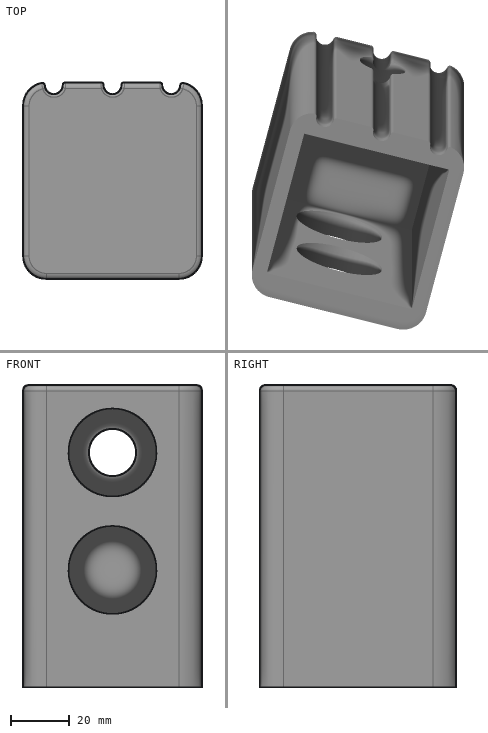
import cadquery as cq

WIDTH = 61.0
DEPTH = 67.0
HEIGHT = 103.0
CORNER_RADIUS = 8.0
TOP_EDGE_RADIUS = 2.0

SIDE_WALL = 5.0
END_WALL = 8.0
ROOF = 5.0

FRONT_HOLE_DIAMETER = 30.0
BACK_HOLE_DIAMETER = 16.0
UPPER_HOLE_Z = 80.0
LOWER_HOLE_Z = 40.0

GROOVE_RADIUS = 3.0
GROOVE_AXIS_DEPTH = 1.0
GROOVE_PITCH = 20.0
GROOVE_COUNT = 3
GROOVE_EDGE_RADIUS = 1.0
SELECTION_MARGIN = 0.1

FRONT_Y = -DEPTH / 2
BACK_Y = DEPTH / 2
GROOVE_AXIS_Y = BACK_Y - GROOVE_AXIS_DEPTH


def make_body():
    """Block with rounded upright corners and a rounded top rim."""
    block = cq.Workplane("XY").box(WIDTH, DEPTH, HEIGHT, centered=(True, True, False))
    return block.edges("|Z").fillet(CORNER_RADIUS).faces(">Z").edges().fillet(TOP_EDGE_RADIUS)


def make_cavity():
    """Rectangular hollow that leaves the walls and the roof."""
    return cq.Workplane("XY").box(
        WIDTH - 2 * SIDE_WALL, DEPTH - 2 * END_WALL, HEIGHT - ROOF, centered=(True, True, False)
    )


def make_wall_hole(diameter, start_y, z):
    """Cylinder along +Y that pierces one end wall, starting at start_y."""
    axis_start = cq.Vector(0, start_y, z)
    return cq.Workplane(cq.Solid.makeCylinder(diameter / 2, END_WALL, axis_start, cq.Vector(0, 1, 0)))


def cut_groove(body, x):
    """Cut a full-height round groove into the back face and round its top and upright edges."""
    groove = cq.Workplane("XY").center(x, GROOVE_AXIS_Y).circle(GROOVE_RADIUS).extrude(HEIGHT)
    reach = GROOVE_RADIUS + SELECTION_MARGIN
    top_edges = cq.selectors.BoxSelector(
        (x - reach, GROOVE_AXIS_Y - reach, HEIGHT - TOP_EDGE_RADIUS - SELECTION_MARGIN),
        (x + reach, BACK_Y + SELECTION_MARGIN, HEIGHT + SELECTION_MARGIN),
        boundingbox=True,
    )
    return body.cut(groove).edges(top_edges).fillet(GROOVE_EDGE_RADIUS)


result = make_body()

for index in range(GROOVE_COUNT):
    groove_x = (index - (GROOVE_COUNT - 1) / 2) * GROOVE_PITCH
    result = cut_groove(result, groove_x)

result = result.cut(make_cavity())

for hole_z in (LOWER_HOLE_Z, UPPER_HOLE_Z):
    result = result.cut(make_wall_hole(FRONT_HOLE_DIAMETER, FRONT_Y, hole_z))
result = result.cut(make_wall_hole(BACK_HOLE_DIAMETER, BACK_Y - END_WALL, UPPER_HOLE_Z))